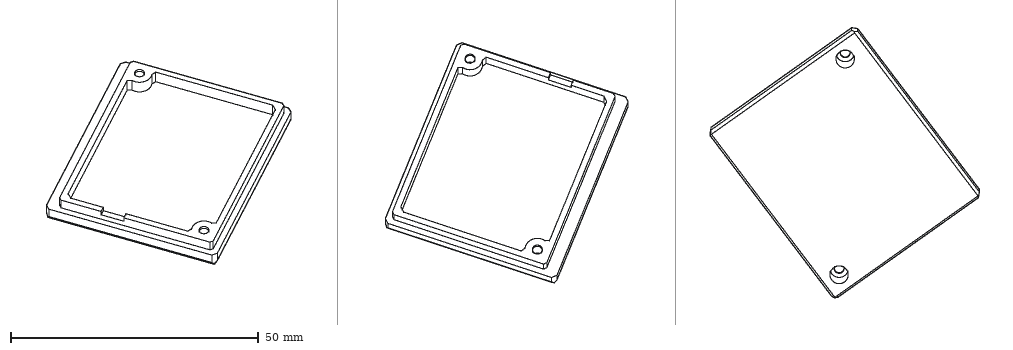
import cadquery as cq
import math

length_x = 37.0
length_y = 43.4
base_height = 3.2
base_corner = 0.85
bottom_bevel_height = 1.0
bottom_bevel_inset = 0.55

lip_height = 2.3
ledge = 1.2
wide_ledge = 2.5
lip_corner = 0.5
total_height = base_height + lip_height

wall = 1.2
cavity_corner = 0.95
cavity_depth = 2.85

hole_diameter = 2.0
bore_diameter = 3.7
bore_skin = 0.5
boss_radius = 2.5
hole_inset_x = 2.8
hole_inset_y = 2.65
flare_start_x = 0.75
flare_start_y = 0.5
flare_end_x = 2.95
flare_end_y = 2.78

notch_start_x = 11.7
notch_width = 4.9
notch_depth = 1.0

lip_x0 = wide_ledge
lip_x1 = length_x - ledge
lip_y0 = ledge
lip_y1 = length_y - ledge


def block(x0, y0, z0, x1, y1, z1):
    """Box between two opposite corners."""
    return cq.Workplane("XY").box(x1 - x0, y1 - y0, z1 - z0, centered=False).translate((x0, y0, z0))


def make_base():
    profile_x = length_x - 2 * bottom_bevel_inset
    profile_y = length_y - 2 * bottom_bevel_inset
    centre = (length_x / 2, length_y / 2)
    bevel = (
        cq.Workplane("XY", origin=(*centre, 0))
        .rect(profile_x, profile_y)
        .workplane(offset=bottom_bevel_height)
        .rect(length_x, length_y)
        .loft(ruled=True)
    )
    upper = block(0, 0, bottom_bevel_height, length_x, length_y, base_height)
    footprint = block(0, 0, 0, length_x, length_y, base_height).edges("|Z").chamfer(base_corner)
    return bevel.union(upper).intersect(footprint)


def make_lip():
    lip = block(lip_x0, lip_y0, base_height, lip_x1, lip_y1, total_height)
    return lip.edges("|Z").chamfer(lip_corner)


def make_boss():
    """Boss for the -X +Y cavity corner, centred on its hole, flaring into both walls."""
    left = wall - hole_inset_x
    top = hole_inset_y - wall
    start_x = math.sqrt(boss_radius**2 - flare_start_y**2)
    start_y = -math.sqrt(boss_radius**2 - flare_start_x**2)
    middle = boss_radius * math.sqrt(0.5)
    return (
        cq.Workplane("XY", origin=(0, 0, total_height - cavity_depth))
        .moveTo(left, top)
        .lineTo(left, -flare_end_y)
        .lineTo(-flare_start_x, start_y)
        .threePointArc((middle, -middle), (start_x, flare_start_y))
        .lineTo(flare_end_x, top)
        .close()
        .extrude(cavity_depth)
    )


def make_cavity():
    cavity = block(
        lip_x0 + wall, lip_y0 + wall, total_height - cavity_depth,
        lip_x1 - wall, lip_y1 - wall, total_height,
    )
    cavity = cavity.edges("|Z").chamfer(cavity_corner)
    boss = make_boss()
    for (x, y), turn in zip(hole_centres, (0, 180)):
        cavity = cavity.cut(boss.rotate((0, 0, 0), (0, 0, 1), turn).translate((x, y, 0)))
    return cavity


hole_centres = [
    (lip_x0 + hole_inset_x, lip_y1 - hole_inset_y),
    (lip_x1 - hole_inset_x, lip_y0 + hole_inset_y),
]
hole_layout = cq.Workplane("XY").pushPoints(hole_centres)
holes = hole_layout.circle(hole_diameter / 2).extrude(total_height)
bores = hole_layout.circle(bore_diameter / 2).extrude(total_height - bore_skin)
notch = block(
    notch_start_x, lip_y0, total_height - notch_depth,
    notch_start_x + notch_width, lip_y0 + wall, total_height,
)

result = make_base().union(make_lip()).cut(make_cavity()).cut(holes).cut(bores).cut(notch)